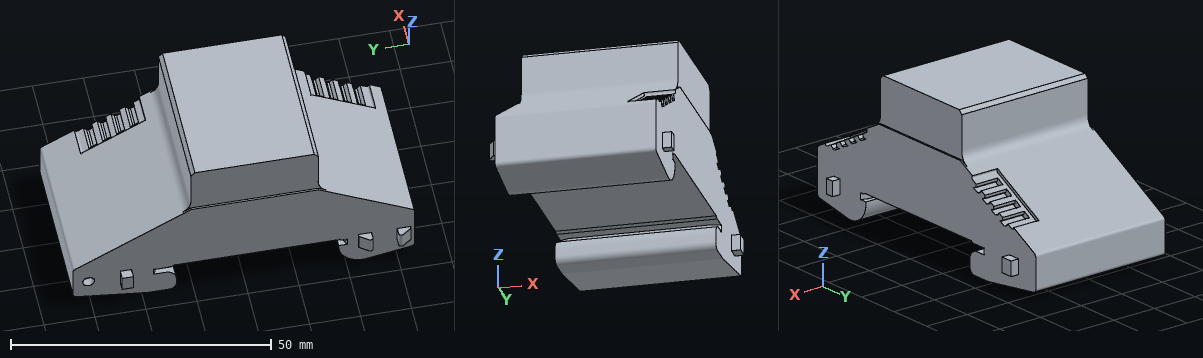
import cadquery as cq
import math

LENGTH = 67.0
OVERALL_WIDTH = 35.6
HEIGHT = 32.5
BODY_WIDTH = 31.9
STUD_LENGTH = (OVERALL_WIDTH - BODY_WIDTH) / 2

TOWER_WIDTH = 31.1
TOWER_REAR_Y = 10.3
TOWER_FRONT_Y = -14.7
TOWER_CHAMFER = 0.8
SHOULDER_Z = 22.4
SLOPE_ANGLE = 28.4
END_FILLET = 0.9
TOWER_FILLET = 2.95

REAR_END_Z = 2.1
REAR_HOOK_HEEL_Y = 18.8
REAR_HOOK_TIP_Y = 13.2
REAR_HOOK_UPPER_RADIUS = 2.2
REAR_HOOK_LOWER_RADIUS = 1.5
FRONT_HOOK_TIP_Y = -18.55
FRONT_HOOK_RADIUS = 4.75
FRONT_UNDERSIDE_ANGLE = 10.5
NOTCH_FLOOR_Z = 5.15
NOTCH_CEILING_Z = 6.5
RAIL_CEILING_Z = 6.85
REAR_NOTCH_Y = 16.95
FRONT_NOTCH_Y = -19.55
REAR_RAMP_Y = (14.35, 13.55)
FRONT_RAMP_Y = (-18.75, FRONT_NOTCH_Y)

FLARE_DEPTH = 0.75
FLARE_ANGLE = 35.0

POCKET_START_X = 9.8
POCKET_DEPTH = 0.7
POCKET_FILLET = 0.4
FRONT_POCKET_Y = (-31.1, -18.4)
REAR_POCKET_Y = (14.1, 26.7)
SLOT_START_X = 10.65
SLOT_COUNT = 4
SLOT_PITCH = 3.1
SLOT_WIDTH = 1.8
SLOT_LOWER_WALL = 0.9
SLOT_UPPER_LIP = 0.75
SLOT_DRAFT = 16.5
SLOT_BEND = 0.35

STUD_Z = 5.9
STUD_HEIGHT = 3.2
LEFT_STUD_Y = 23.1
LEFT_STUD_WIDTH = 2.2
RIGHT_STUDS = ((26.8, 2.8), (-27.5, 1.9))
CLIP_PAIR_Y = -27.55
CLIP_GAP = 5.0
CLIP_WIDTH = 2.6
CLIP_FLANK_ANGLE = 36.0
CLIP_TIP_RADIUS = 0.55
SOCKET_Y = 30.4
SOCKET_DIAMETER = 2.3
SOCKET_DEPTH = 1.8

half_length = LENGTH / 2
half_width = BODY_WIDTH / 2
slope_tan = math.tan(math.radians(SLOPE_ANGLE))


def slope_z(y):
    """Height of the sloped top surface at y."""
    if y > 0:
        return SHOULDER_Z - (y - TOWER_REAR_Y) * slope_tan
    return SHOULDER_Z - (TOWER_FRONT_Y - y) * slope_tan


def extrude_x(outline, start, length):
    """Turn an outline in the YZ plane into a solid running along +X."""
    return outline.extrude(length).translate((start, 0, 0))


def arc_point(center_u, center_v, radius, angle):
    """Point on a circle, at an angle in degrees from the first axis of its plane."""
    turn = math.radians(angle)
    return center_u + radius * math.cos(turn), center_v + radius * math.sin(turn)


def make_body():
    """Main body: one outline extruded across the width, with rounded end corners."""
    upper_y = REAR_HOOK_TIP_Y + REAR_HOOK_UPPER_RADIUS
    upper_z = NOTCH_FLOOR_Z - REAR_HOOK_UPPER_RADIUS
    lower_y = REAR_HOOK_TIP_Y + REAR_HOOK_LOWER_RADIUS
    front_y = FRONT_HOOK_TIP_Y - FRONT_HOOK_RADIUS
    tangent = arc_point(front_y, FRONT_HOOK_RADIUS, FRONT_HOOK_RADIUS, 270 - FRONT_UNDERSIDE_ANGLE)
    front_end_z = tangent[1] + (tangent[0] + half_length) * math.tan(math.radians(FRONT_UNDERSIDE_ANGLE))
    outline = (
        cq.Workplane("YZ")
        .moveTo(TOWER_REAR_Y, SHOULDER_Z)
        .lineTo(half_length, slope_z(half_length))
        .lineTo(half_length, REAR_END_Z)
        .lineTo(REAR_HOOK_HEEL_Y, 0)
        .lineTo(lower_y, 0)
        .threePointArc(
            arc_point(lower_y, REAR_HOOK_LOWER_RADIUS, REAR_HOOK_LOWER_RADIUS, 225),
            (REAR_HOOK_TIP_Y, REAR_HOOK_LOWER_RADIUS),
        )
        .lineTo(REAR_HOOK_TIP_Y, upper_z)
        .threePointArc(
            arc_point(upper_y, upper_z, REAR_HOOK_UPPER_RADIUS, 135),
            (upper_y, NOTCH_FLOOR_Z),
        )
        .lineTo(REAR_NOTCH_Y, NOTCH_FLOOR_Z)
        .lineTo(REAR_NOTCH_Y, NOTCH_CEILING_Z)
        .lineTo(REAR_RAMP_Y[0], NOTCH_CEILING_Z)
        .lineTo(REAR_RAMP_Y[1], RAIL_CEILING_Z)
        .lineTo(FRONT_RAMP_Y[0], RAIL_CEILING_Z)
        .lineTo(FRONT_RAMP_Y[1], NOTCH_CEILING_Z)
        .lineTo(FRONT_NOTCH_Y, NOTCH_FLOOR_Z)
        .lineTo(FRONT_HOOK_TIP_Y, NOTCH_FLOOR_Z)
        .lineTo(FRONT_HOOK_TIP_Y, FRONT_HOOK_RADIUS)
        .threePointArc(arc_point(front_y, FRONT_HOOK_RADIUS, FRONT_HOOK_RADIUS, -45), tangent)
        .lineTo(-half_length, front_end_z)
        .lineTo(-half_length, slope_z(-half_length))
        .lineTo(TOWER_FRONT_Y, SHOULDER_Z)
        .close()
    )
    body = extrude_x(outline, -half_width, BODY_WIDTH)
    return body.edges("|X and (<Y or >Y)").fillet(END_FILLET)


def make_tower():
    """Raised central block, slightly narrower than the body and chamfered along its top."""
    depth = TOWER_REAR_Y - TOWER_FRONT_Y
    rise = HEIGHT - RAIL_CEILING_Z
    center = (0, (TOWER_REAR_Y + TOWER_FRONT_Y) / 2, RAIL_CEILING_Z)
    tower = cq.Workplane("XY").box(TOWER_WIDTH, depth, rise, centered=(True, True, False))
    tower = tower.translate(center)
    return tower.faces(">Z").edges("|X").chamfer(TOWER_CHAMFER)


def tower_fillet(face_y, outward):
    """Concave fillet between a tower face and the slope below it."""
    tangent_length = TOWER_FILLET * math.tan(math.radians(45 - SLOPE_ANGLE / 2))
    slope = math.radians(SLOPE_ANGLE)
    foot_y = face_y + outward * tangent_length * math.cos(slope)
    foot_z = SHOULDER_Z - tangent_length * math.sin(slope)
    center_y = face_y + outward * TOWER_FILLET
    center_z = SHOULDER_Z + tangent_length
    middle = math.radians(180 + 45 - SLOPE_ANGLE / 2)
    middle_point = (
        center_y + outward * TOWER_FILLET * math.cos(middle),
        center_z + TOWER_FILLET * math.sin(middle),
    )
    outline = (
        cq.Workplane("YZ")
        .moveTo(face_y, center_z)
        .threePointArc(middle_point, (foot_y, foot_z))
        .lineTo(face_y, foot_z)
        .close()
    )
    return extrude_x(outline, -TOWER_WIDTH / 2, TOWER_WIDTH)


def notch_flare(end_y, outward, side):
    """Cutter that curves a notch end outward towards one side face."""
    angle = math.radians(FLARE_ANGLE)
    radius = FLARE_DEPTH / (1 - math.cos(angle))
    reach = radius * math.sin(angle)

    def flare_point(turn):
        along = reach - radius * math.sin(turn)
        return side * (half_width - along), end_y + outward * radius * (1 - math.cos(turn))

    return (
        cq.Workplane("XY", origin=(0, 0, NOTCH_FLOOR_Z))
        .moveTo(*flare_point(0))
        .threePointArc(flare_point(angle / 2), flare_point(angle))
        .lineTo(side * half_width, end_y)
        .close()
        .extrude(NOTCH_CEILING_Z - NOTCH_FLOOR_Z)
    )


def vent_slot(upslope):
    """Cutter for one vent slot: drafted mouth, then a bend at 45 degrees under the upslope side.

    The slope is laid flat here; upslope is 1 or -1, the direction along Y that leads up the slope.
    """
    rim = SLOT_WIDTH / 2
    draft = math.tan(math.radians(SLOT_DRAFT))
    lower_foot = SLOT_LOWER_WALL * draft - rim
    upper_foot = rim - SLOT_UPPER_LIP * draft
    floor_depth = SLOT_LOWER_WALL + SLOT_BEND
    upper_undercut = floor_depth - SLOT_UPPER_LIP
    profile = (
        (-rim, 0),
        (lower_foot, SLOT_LOWER_WALL),
        (lower_foot + SLOT_BEND, floor_depth),
        (upper_foot + upper_undercut, floor_depth),
        (upper_foot, SLOT_UPPER_LIP),
        (rim, 0),
    )
    points = [(upslope * along, -POCKET_DEPTH - depth) for along, depth in profile]
    return extrude_x(cq.Workplane("YZ").polyline(points).close(), SLOT_START_X, half_width - SLOT_START_X)


def vent_cutter(y_range, outward):
    """Pocket with slots, lying in a slope and open at +X."""
    middle_y = sum(y_range) / 2
    length = (y_range[1] - y_range[0]) / math.cos(math.radians(SLOPE_ANGLE))
    cutter = (
        cq.Workplane("XY")
        .box(half_width - POCKET_START_X, length, 2 * POCKET_DEPTH, centered=(False, True, True))
        .edges("|X and <Z")
        .fillet(POCKET_FILLET)
        .translate((POCKET_START_X, 0, 0))
    )
    for index in range(SLOT_COUNT):
        slot_y = (index - (SLOT_COUNT - 1) / 2) * SLOT_PITCH
        cutter = cutter.union(vent_slot(-outward).translate((0, slot_y, 0)))
    tilted = cutter.rotate((0, 0, 0), (1, 0, 0), -outward * SLOPE_ANGLE)
    return tilted.translate((0, middle_y, slope_z(middle_y)))


def make_stud(side, y, width):
    """Rectangular stud standing on the -X (side -1) or +X (side 1) face."""
    stud = cq.Workplane("XY").box(STUD_LENGTH, width, STUD_HEIGHT)
    return stud.translate((side * (half_width + STUD_LENGTH / 2), y, STUD_Z))


def make_clip(direction):
    """Wedge clip on the -X face with a rounded tip; its steep side faces the other clip of the pair."""
    root_x = -half_width
    tip_x = root_x - STUD_LENGTH + CLIP_TIP_RADIUS
    tip_offset = CLIP_GAP / 2 + CLIP_TIP_RADIUS
    outer_offset = CLIP_GAP / 2 + CLIP_WIDTH

    def tip_point(angle):
        return arc_point(tip_x, tip_offset, CLIP_TIP_RADIUS, angle)

    flank_x, flank_offset = tip_point(180 - CLIP_FLANK_ANGLE)
    outer_x = flank_x + (outer_offset - flank_offset) * math.tan(math.radians(CLIP_FLANK_ANGLE))
    clip = (
        cq.Workplane("XY")
        .moveTo(root_x, CLIP_GAP / 2)
        .lineTo(tip_x, CLIP_GAP / 2)
        .threePointArc(tip_point(225), (flank_x, flank_offset))
        .lineTo(outer_x, outer_offset)
        .lineTo(root_x, outer_offset)
        .close()
        .extrude(STUD_HEIGHT)
    )
    if direction < 0:
        clip = clip.mirror("XZ")
    return clip.translate((0, CLIP_PAIR_Y, STUD_Z - STUD_HEIGHT / 2))


result = make_body().union(make_tower())
result = result.union(tower_fillet(TOWER_REAR_Y, 1)).union(tower_fillet(TOWER_FRONT_Y, -1))

for side in (-1, 1):
    result = result.cut(notch_flare(REAR_NOTCH_Y, 1, side))
    result = result.cut(notch_flare(FRONT_NOTCH_Y, -1, side))

result = result.cut(vent_cutter(FRONT_POCKET_Y, -1)).cut(vent_cutter(REAR_POCKET_Y, 1))

result = result.union(make_stud(-1, LEFT_STUD_Y, LEFT_STUD_WIDTH))
for stud_y, stud_width in RIGHT_STUDS:
    result = result.union(make_stud(1, stud_y, stud_width))
for direction in (-1, 1):
    result = result.union(make_clip(direction))

socket = cq.Workplane("YZ", origin=(-half_width, SOCKET_Y, STUD_Z)).circle(SOCKET_DIAMETER / 2)
result = result.cut(socket.extrude(SOCKET_DEPTH))